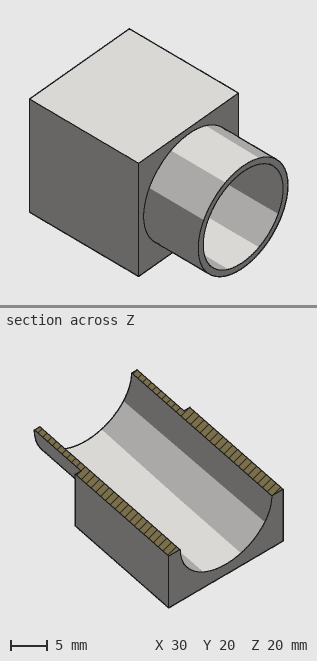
import cadquery as cq

total_length = 30.0
block_side = 20.0
spigot_diameter = 18.0
bore_diameter = 16.0

spigot_length = total_length - block_side

block = cq.Workplane("YZ").rect(block_side, block_side).extrude(block_side)

spigot = (
    cq.Workplane("YZ", origin=(block_side, 0, 0))
    .circle(spigot_diameter / 2)
    .extrude(spigot_length)
)

bore = cq.Workplane("YZ").circle(bore_diameter / 2).extrude(total_length)

result = block.union(spigot).cut(bore)